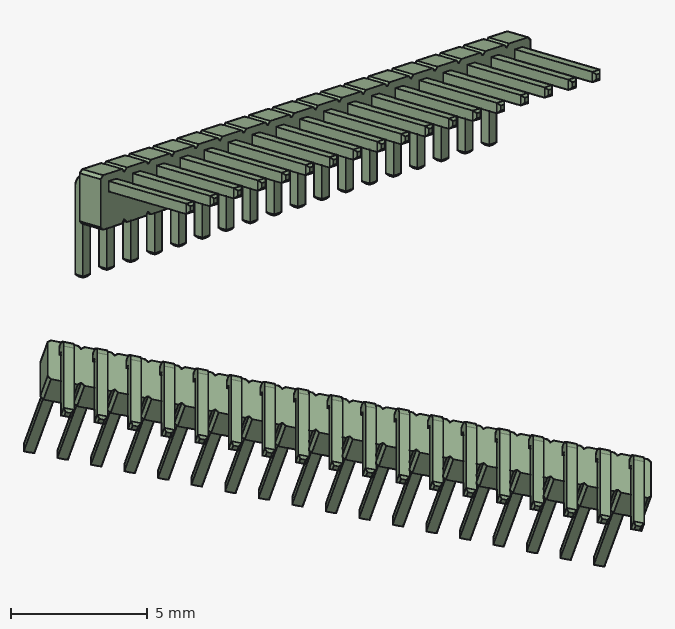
import cadquery as cq

pin_count = 18
pitch = 1.27

pin_reach = 5.7
pin_width = 0.4
bend_inner_radius = 0.2
tip_chamfer = 0.1

total_height = 4.35
housing_depth = 1.05
housing_height = 2.1
housing_gap = 0.65
pin_top_drop = 0.3
notch_size = 0.127

bend_outer_radius = bend_inner_radius + pin_width
pin_top = total_height - pin_top_drop
housing_bottom = total_height - housing_height


def row_position(index):
    """Y position of one pin, with the row centred on Y = 0."""
    return (index - (pin_count - 1) / 2) * pitch


def make_segment(y):
    """One housing block, chamfered along its four X-direction edges."""
    return (
        cq.Workplane("XY")
        .box(housing_depth, pitch, housing_height, centered=(False, True, False))
        .edges("|X")
        .chamfer(notch_size)
        .translate((housing_gap, y, housing_bottom))
    )


def make_pin(y):
    """One square pin: a vertical leg, a round bend and a horizontal contact."""
    pin = (
        cq.Workplane("XZ")
        .moveTo(0, 0)
        .lineTo(0, pin_top - bend_outer_radius)
        .radiusArc((bend_outer_radius, pin_top), bend_outer_radius)
        .lineTo(pin_reach, pin_top)
        .lineTo(pin_reach, pin_top - pin_width)
        .lineTo(bend_outer_radius, pin_top - pin_width)
        .radiusArc((pin_width, pin_top - bend_outer_radius), -bend_inner_radius)
        .lineTo(pin_width, 0)
        .close()
        .extrude(pin_width / 2, both=True)
    )
    pin = pin.faces(">X").chamfer(tip_chamfer)
    pin = pin.faces("<Z").chamfer(tip_chamfer)
    return pin.translate((0, y, 0))


result = cq.Workplane("XY")
for pin_index in range(pin_count):
    result = result.union(make_segment(row_position(pin_index)))
for pin_index in range(pin_count):
    result = result.union(make_pin(row_position(pin_index)))